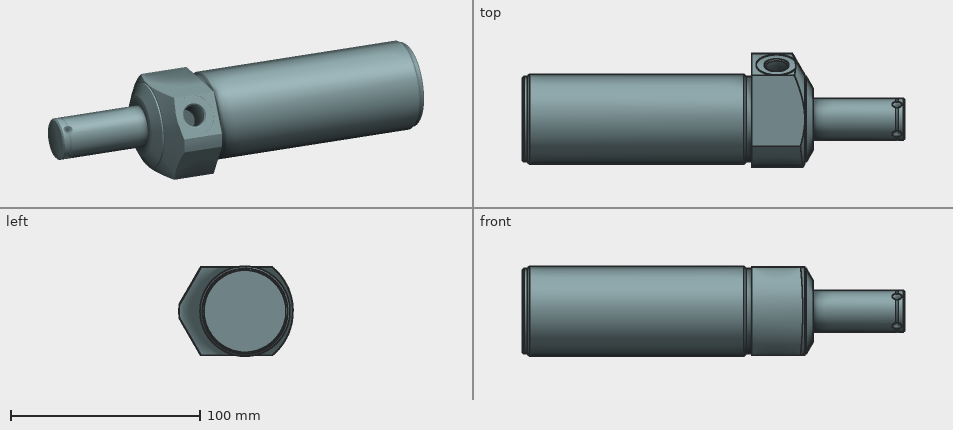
import cadquery as cq
import math

TOTAL_LENGTH = 202.02
BODY_END = 118.2
HEAD_START = 121.1
HEAD_LAND_START = 149.3
HEAD_LAND_LENGTH = 0.7
ROD_GROOVE_X = 198.0

BODY_RADIUS = 47.625 / 2
NECK_RADIUS = 22.6
BODY_CHAMFER = BODY_RADIUS - NECK_RADIUS
END_LAND_LENGTH = 2.6
END_CHAMFER = 0.9

HEAD_RADIUS = 60.325 / 2
HEAD_OFFSET = 4.7625
HEAD_FLAT_WIDTH = 46.8
PORT_FACE_DISTANCE = 27.78
PORT_FACE_ANGLE = 30.0

NOSE_ANGLE = 30.0
NOSE_SHOULDER_RADIUS = HEAD_FLAT_WIDTH / 2
NOSE_LAND_RADIUS = 22.6
NOSE_TIP_RADIUS = 16.2

PORT_X = 134.3
PORT_SPOT_DIAMETER = 21.5
PORT_SPOT_DEPTH = 0.2
PORT_MOUTH_DIAMETER = 13.1
PORT_BORE_DIAMETER = 11.5
PORT_DEPTH = 16.0

ROD_RADIUS = 22.225 / 2
ROD_CHAMFER = 0.8
ROD_GROOVE_HALF_WIDTH = 0.65
ROD_GROOVE_DEPTH = 0.25
DIMPLE_RADIUS = 2.5
DIMPLE_COUNT = 4
DIMPLE_START_ANGLE = 45.0

NOSE_SLOPE = math.tan(math.radians(NOSE_ANGLE))


def revolve_profile(points):
    """Revolve (x, radius) points, closed along the X axis."""
    profile = [(points[0][0], 0), *points, (points[-1][0], 0)]
    return cq.Workplane("XY").polyline(profile).close().revolve(360, (0, 0, 0), (1, 0, 0))


def cone_cutter(mouth, mouth_radius, tip_radius, depth, inward):
    """Tapered plug that starts at mouth and narrows along inward."""
    return cq.Workplane(cq.Solid.makeCone(mouth_radius, tip_radius, depth, mouth, inward))


def make_body():
    """Plain cylinder with a chamfered land at the closed end and a neck at the head."""
    return revolve_profile([
        (0, NECK_RADIUS - END_CHAMFER),
        (END_CHAMFER, NECK_RADIUS),
        (END_LAND_LENGTH, NECK_RADIUS),
        (END_LAND_LENGTH + BODY_CHAMFER, BODY_RADIUS),
        (BODY_END - BODY_CHAMFER, BODY_RADIUS),
        (BODY_END, NECK_RADIUS),
        (HEAD_START, NECK_RADIUS),
    ])


def make_head_envelope():
    """Revolved limit of the head, which gives it the two nose cones."""
    nose_land_end = HEAD_LAND_START + HEAD_LAND_LENGTH
    head_reach = HEAD_OFFSET + HEAD_RADIUS
    cone_start = HEAD_LAND_START - (head_reach - NOSE_SHOULDER_RADIUS) * NOSE_SLOPE
    nose_tip = nose_land_end + (NOSE_LAND_RADIUS - NOSE_TIP_RADIUS) * NOSE_SLOPE
    return revolve_profile([
        (HEAD_START, head_reach),
        (cone_start, head_reach),
        (HEAD_LAND_START, NOSE_SHOULDER_RADIUS),
        (HEAD_LAND_START, NOSE_LAND_RADIUS),
        (nose_land_end, NOSE_LAND_RADIUS),
        (nose_tip, NOSE_TIP_RADIUS),
    ])


def make_head():
    """Eccentric round cut by its flats, then trimmed to the nose cones."""
    cutter_size = 4 * HEAD_RADIUS
    length = TOTAL_LENGTH - HEAD_START
    section = cq.Workplane("YZ", origin=(HEAD_START, HEAD_OFFSET, 0))
    head = section.circle(HEAD_RADIUS).extrude(length)
    head = head.intersect(section.rect(cutter_size, HEAD_FLAT_WIDTH).extrude(length))
    half_space = section.center(PORT_FACE_DISTANCE - cutter_size / 2, 0)
    half_space = half_space.rect(cutter_size, cutter_size).extrude(length)
    axis_start = (0, HEAD_OFFSET, 0)
    axis_end = (1, HEAD_OFFSET, 0)
    for angle in (PORT_FACE_ANGLE, -PORT_FACE_ANGLE):
        head = head.intersect(half_space.rotate(axis_start, axis_end, angle))
    return head.intersect(make_head_envelope())


def make_port():
    """Spotface and blind bore with a 45 degree mouth chamfer."""
    angle = math.radians(PORT_FACE_ANGLE)
    outward = cq.Vector(0, math.cos(angle), math.sin(angle))
    centre = cq.Vector(PORT_X, HEAD_OFFSET, 0)
    inward = outward * -1
    face = centre + outward * PORT_FACE_DISTANCE
    floor = face + inward * PORT_SPOT_DEPTH
    spot_radius = PORT_SPOT_DIAMETER / 2
    mouth_radius = PORT_MOUTH_DIAMETER / 2
    bore_radius = PORT_BORE_DIAMETER / 2
    spotface = cq.Workplane(cq.Solid.makeCylinder(spot_radius, PORT_SPOT_DEPTH, face, inward))
    mouth = cone_cutter(floor, mouth_radius, bore_radius, mouth_radius - bore_radius, inward)
    bore = cq.Workplane(cq.Solid.makeCylinder(bore_radius, PORT_DEPTH, floor, inward))
    return spotface.union(mouth).union(bore)


def make_rod():
    """Chamfered rod with a shallow round-bottomed wire groove near its end."""
    rod = revolve_profile([
        (HEAD_START, ROD_RADIUS),
        (TOTAL_LENGTH - ROD_CHAMFER, ROD_RADIUS),
        (TOTAL_LENGTH, ROD_RADIUS - ROD_CHAMFER),
    ])
    groove = cq.Workplane("XY").moveTo(ROD_GROOVE_X - ROD_GROOVE_HALF_WIDTH, ROD_RADIUS)
    groove = groove.threePointArc(
        (ROD_GROOVE_X, ROD_RADIUS - ROD_GROOVE_DEPTH),
        (ROD_GROOVE_X + ROD_GROOVE_HALF_WIDTH, ROD_RADIUS),
    )
    return rod.cut(groove.close().revolve(360, (0, 0, 0), (1, 0, 0)))


def make_dimples():
    """90 degree conical dimples spaced evenly around the rod groove."""
    mouth = cq.Vector(ROD_GROOVE_X, 0, ROD_RADIUS)
    dimple = cone_cutter(mouth, DIMPLE_RADIUS, 0, DIMPLE_RADIUS, cq.Vector(0, 0, -1))
    dimples = cq.Workplane("XY")
    for index in range(DIMPLE_COUNT):
        angle = DIMPLE_START_ANGLE + index * 360 / DIMPLE_COUNT
        dimples = dimples.add(dimple.rotate((0, 0, 0), (1, 0, 0), angle))
    return dimples.combine()


head = make_head().cut(make_port())
rod = make_rod().cut(make_dimples())
result = make_body().union(head).union(rod)